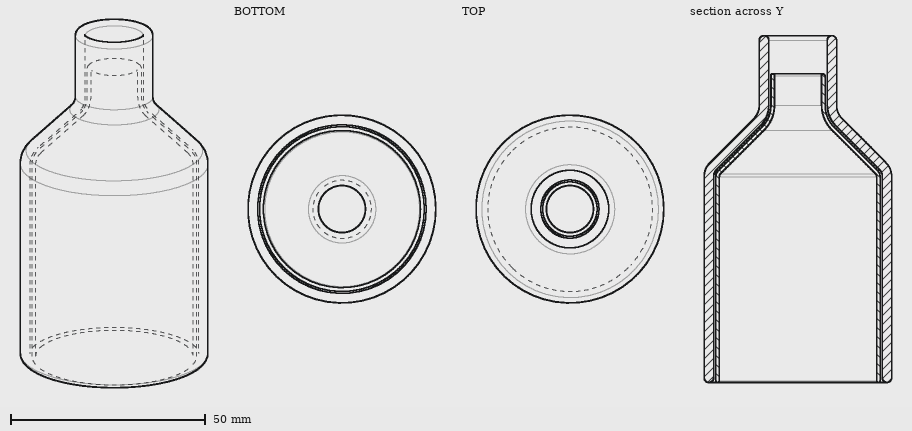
import cadquery as cq
import math

total_height = 89.1
body_diameter = 48.3
neck_diameter = 20.0
shell_wall = 2.5

neck_corner_height = 69.2
shoulder_radius = 5.0
throat_radius = 5.1

liner_gap = 0.49
liner_wall = 1.0
liner_recess = 9.8

body_radius = body_diameter / 2
neck_radius = neck_diameter / 2
liner_depth = shell_wall + liner_gap
liner_top = total_height - liner_recess

cone_reach = neck_radius + neck_corner_height

half_turn = math.radians(45 / 2)
shoulder_center_radius = body_radius - shoulder_radius
shoulder_center_height = cone_reach - body_radius - shoulder_radius * math.tan(half_turn)
throat_center_radius = neck_radius + throat_radius
throat_center_height = cone_reach - neck_radius + throat_radius * math.tan(half_turn)


def shoulder_point(depth, angle):
    """Point on the shoulder rounding; the angle is measured up from horizontal."""
    radius = shoulder_radius - depth
    return (
        shoulder_center_radius + radius * math.cos(angle),
        shoulder_center_height + radius * math.sin(angle),
    )


def throat_point(depth, angle):
    """Point on the throat rounding; the angle is measured down from horizontal."""
    radius = throat_radius + depth
    return (
        throat_center_radius - radius * math.cos(angle),
        throat_center_height - radius * math.sin(angle),
    )


def bottle_wall(depth, thickness, top):
    """Bottle-shaped wall, open at both ends, with a fully rounded lip on each end.

    The depth is how far the wall lies inside the outer surface of the shell.
    """
    inner_depth = depth + thickness
    middle_depth = depth + thickness / 2
    lip_radius = thickness / 2
    lip_height = top - lip_radius
    section = (
        cq.Workplane("XZ")
        .moveTo(body_radius - depth, lip_radius)
        .lineTo(*shoulder_point(depth, 0))
        .threePointArc(shoulder_point(depth, half_turn), shoulder_point(depth, 2 * half_turn))
        .lineTo(*throat_point(depth, 2 * half_turn))
        .threePointArc(throat_point(depth, half_turn), throat_point(depth, 0))
        .lineTo(neck_radius - depth, lip_height)
        .threePointArc((neck_radius - middle_depth, top), (neck_radius - inner_depth, lip_height))
        .lineTo(*throat_point(inner_depth, 0))
        .threePointArc(throat_point(inner_depth, half_turn), throat_point(inner_depth, 2 * half_turn))
        .lineTo(*shoulder_point(inner_depth, 2 * half_turn))
        .threePointArc(shoulder_point(inner_depth, half_turn), shoulder_point(inner_depth, 0))
        .lineTo(body_radius - inner_depth, lip_radius)
        .threePointArc((body_radius - middle_depth, 0), (body_radius - depth, lip_radius))
        .close()
    )
    return section.revolve(360, (0, 0, 0), (0, 1, 0))


def make_shell():
    """Outer bottle."""
    return bottle_wall(0, shell_wall, total_height)


def make_liner():
    """Thin bottle nested inside the shell, with its neck ending below the shell's lip."""
    return bottle_wall(liner_depth, liner_wall, liner_top)


shell = make_shell()
liner = make_liner()

result = cq.Compound.makeCompound([shell.val(), liner.val()])